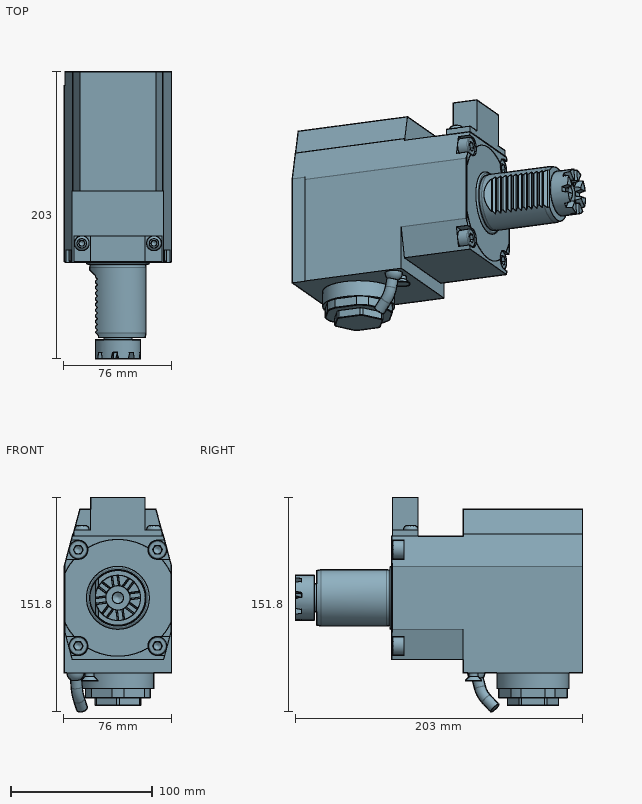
import cadquery as cq
import math


half_width = 38.0
back_y = 135.0
flank_lean = 15.0
flank_start_z = 22.3
ledge_z = 43.6
step_y = 50.7
rear_top_z = 62.7
rear_bottom_z = -53.0
seam_z = 45.0
seam_step = 0.25

strip_length = 10.0
strip_depth = 0.5

pad_thickness = 0.6
pad_half_width = 37.5
disc_diameter = 82.6
disc_proud = 0.1

screw_x = 28.0
screw_z = 34.0
cap_pocket_diameter = 13.5
cap_pocket_depth = 8.7
cap_head_diameter = 13.0
cap_head_sink = 0.8
cap_edge_fillet = 0.6
cap_socket_flats = 6.0
cap_socket_depth = 4.0

shank_diameter = 40.0
shank_length = 53.0
shank_tip_diameter = 38.7
shank_tip_taper = 3.3
seal_diameter = 44.5
seal_thickness = 1.2
seal_fillet = 1.15
root_diameter = 39.4
root_taper_start = 1.7
root_taper_end = 3.5
neck_diameter = 20.0

flat_offset = 16.0
run_in_y = -5.2
serration_pitch = 4.0
serration_depth = 1.5
serration_count = 10
first_serration_y = -11.7
run_out_y = -49.3
run_out_depth = 2.2

nut_diameter = 32.0
nut_start_y = -54.4
nut_end_y = -68.0
nut_edge_fillet = 0.6
nut_recess_diameter = 17.2
nut_recess_depth = 4.9
nut_slot_depth = 4.5
nut_slot_floor_width = 3.2
nut_slot_mouth_width = 5.2
nut_slot_count = 8
nut_slot_turn = 8.0
centre_diameter = 8.0

drive_y = 100.0
collar_diameter = 51.0
collar_bottom_z = -64.1
large_hex_flats = 46.0
large_hex_diameter = 49.0
large_hex_bottom_z = -70.7
small_hex_flats = 32.4
small_hex_diameter = 36.3
small_hex_bottom_z = -76.2
hex_chamfer = 0.4

nozzle_x = -30.0
nozzle_y = 59.9
ball_diameter = 12.2
pipe_diameter = 8.0
pipe_heading = 19.0
pipe_start_lean = 15.0
pipe_end_lean = 45.0
pipe_start_length = 10.6
pipe_bend_radius = 18.5
pipe_end_length = 9.0

plug_x = -20.0
plug_y = 58.0
plug_stem_diameter = 6.37
plug_stem_length = 2.5
plug_head_diameter = 11.57
plug_head_height = 3.2
plug_rim = 0.4

key_front_y = 0.6
key_back_y = 18.9
key_plate_half_width = 31.0
key_plate_top_z = 48.1
key_half_width = 19.3
key_top_z = 71.1
button_x = 25.5
button_y = 13.6
button_diameter = 10.5
button_top_diameter = 6.6
button_height = 2.9
button_bulge = 0.35
button_socket_flats = 4.0
button_socket_depth = 1.7
button_thread_diameter = 6.0
button_thread_length = 12.0

drill_point = 118.0
hex_corner_ratio = 1 / math.cos(math.radians(30))


def flank_x(z):
    """Half width of the housing on the sloped flank at height z."""
    return half_width - (z - flank_start_z) * math.tan(math.radians(flank_lean))


def extrude_along_y(points, y_start, y_end):
    plane = cq.Workplane("XZ", origin=(0, y_start, 0))
    return plane.polyline(points).close().extrude(y_start - y_end)


def rod(diameter, y_start, y_end, x=0, z=0):
    """Round rod along Y from y_start to y_end."""
    plane = cq.Workplane("XZ", origin=(x, y_start, z))
    return plane.circle(diameter / 2).extrude(y_start - y_end)


def mirrored(right_points):
    """Outline symmetric about X = 0, from its +X points listed bottom to top."""
    return right_points + [(-x, z) for x, z in reversed(right_points)]


def socket(flats, depth):
    """Hexagonal socket with a conical bottom, opening at Z = 0 and going down."""
    hexagon = cq.Workplane("XY").polygon(6, flats * hex_corner_ratio).extrude(-depth)
    cone_height = flats / 2 / math.tan(math.radians(drill_point / 2))
    cone = cq.Solid.makeCone(flats / 2, 0, cone_height, cq.Vector(0, 0, -depth), cq.Vector(0, 0, -1))
    return hexagon.union(cone)


def housing_block():
    front_points = mirrored([
        (flank_x(ledge_z), -ledge_z),
        (half_width, -flank_start_z),
        (half_width, flank_start_z),
        (flank_x(ledge_z), ledge_z),
    ])
    rear_points = mirrored([
        (half_width, rear_bottom_z),
        (half_width, flank_start_z),
        (flank_x(seam_z), seam_z),
        (flank_x(seam_z) - seam_step, seam_z),
        (flank_x(rear_top_z) - seam_step, rear_top_z),
    ])
    front = extrude_along_y(front_points, step_y, pad_thickness)
    rear = extrude_along_y(rear_points, back_y, step_y)
    strip = cq.Workplane("XY").box(strip_depth, strip_length, 4 * half_width).translate(
        (-half_width + strip_depth / 2, back_y - strip_length / 2, 0)
    )

    pad_limit = cq.Workplane("XY").box(2 * pad_half_width, back_y, 2 * ledge_z)
    pad = extrude_along_y(front_points, pad_thickness, disc_proud).intersect(pad_limit)
    disc = rod(disc_diameter, pad_thickness, 0).intersect(pad_limit)
    return front.union(rear).cut(strip).union(pad).union(disc)


def cap_screw_pocket(side, z):
    """Round pocket that runs out through the nearest side of the housing."""
    bore = rod(cap_pocket_diameter, cap_pocket_depth, 0, side * screw_x, z)
    run_out = cq.Workplane("XY").box(half_width, cap_pocket_depth, cap_pocket_diameter)
    run_out = run_out.translate((side * (screw_x + half_width / 2), cap_pocket_depth / 2, z))
    return bore.union(run_out)


def cap_screw_head(side, z):
    head = rod(cap_head_diameter, cap_pocket_depth, cap_head_sink, side * screw_x, z)
    head = head.faces("<Y").edges().fillet(cap_edge_fillet)
    opening = socket(cap_socket_flats, cap_socket_depth).rotate((0, 0, 0), (1, 0, 0), 90)
    return head.cut(opening.translate((side * screw_x, cap_head_sink, z)))


def shank():
    radius = shank_diameter / 2
    seal = rod(seal_diameter, 0, -seal_thickness).faces("<Y").edges().fillet(seal_fillet)
    profile = (
        cq.Workplane("XY")
        .moveTo(0, 0)
        .lineTo(root_diameter / 2, 0)
        .lineTo(root_diameter / 2, -root_taper_start)
        .lineTo(radius, -root_taper_end)
        .lineTo(radius, shank_tip_taper - shank_length)
        .lineTo(shank_tip_diameter / 2, -shank_length)
        .lineTo(0, -shank_length)
        .close()
    )
    body = profile.revolve(360, (0, 0, 0), (0, 1, 0))

    run_in_end_y = run_in_y - (radius - flat_offset)
    flat_profile = cq.Workplane("XY").moveTo(-radius, run_in_y).lineTo(-flat_offset, run_in_end_y)
    for i in range(serration_count):
        valley_y = first_serration_y - i * serration_pitch
        flat_profile = (
            flat_profile.lineTo(-flat_offset, valley_y + serration_depth)
            .lineTo(serration_depth - flat_offset, valley_y)
            .lineTo(-flat_offset, valley_y - serration_depth)
        )
    flat_profile = (
        flat_profile.lineTo(-flat_offset, run_out_y)
        .lineTo(run_out_depth - flat_offset, run_out_y - run_out_depth)
        .lineTo(run_out_depth - flat_offset, -shank_length)
        .lineTo(-radius, -shank_length)
        .close()
    )
    body = body.cut(flat_profile.extrude(radius, both=True))
    return body.union(seal).union(rod(neck_diameter, -shank_length, nut_start_y))


def collet_nut():
    nut = rod(nut_diameter, nut_start_y, nut_end_y).faces(">Y").edges().fillet(nut_edge_fillet)
    slot_floor_y = nut_end_y + nut_slot_depth
    floor_y = nut_end_y + nut_recess_depth
    slot_section = [
        (-nut_slot_floor_width / 2, slot_floor_y),
        (nut_slot_floor_width / 2, slot_floor_y),
        (nut_slot_mouth_width / 2, nut_end_y),
        (-nut_slot_mouth_width / 2, nut_end_y),
    ]
    nut = nut.cut(rod(nut_recess_diameter, floor_y, nut_end_y))
    for i in range(nut_slot_count):
        slot = cq.Workplane("XY").polyline(slot_section).close().extrude(nut_diameter)
        angle = nut_slot_turn + i * 360 / nut_slot_count
        nut = nut.cut(slot.rotate((0, 0, 0), (0, -1, 0), angle))
    cone_height = centre_diameter / 2 / math.tan(math.radians(drill_point / 2))
    centre = cq.Solid.makeCone(
        centre_diameter / 2, 0, cone_height, cq.Vector(0, floor_y, 0), cq.Vector(0, 1, 0)
    )
    return nut.cut(cq.Workplane(centre))


def turned_hexagon(flats, diameter, top_z, bottom_z):
    """Hexagon with its corners turned down to a diameter and a flat facing +X."""
    height = top_z - bottom_z
    plane = cq.Workplane("XY", origin=(0, drive_y, bottom_z))
    hexagon = plane.polygon(6, flats * hex_corner_ratio).extrude(height)
    hexagon = hexagon.rotate((0, drive_y, 0), (0, drive_y, 1), 30)
    return hexagon.intersect(plane.circle(diameter / 2).extrude(height))


def drive_stack():
    collar = cq.Workplane("XY", origin=(0, drive_y, rear_bottom_z))
    collar = collar.circle(collar_diameter / 2).extrude(collar_bottom_z - rear_bottom_z)
    large = turned_hexagon(large_hex_flats, large_hex_diameter, collar_bottom_z, large_hex_bottom_z)
    small = turned_hexagon(small_hex_flats, small_hex_diameter, large_hex_bottom_z, small_hex_bottom_z)
    large = large.faces("<Z").chamfer(hex_chamfer)
    small = small.faces("<Z").chamfer(hex_chamfer)
    return collar.union(large).union(small)


def nozzle():
    """Ball half sunk in the housing, with a pipe that bends away from it."""
    ball = cq.Workplane("XY").sphere(ball_diameter / 2)
    start = math.radians(pipe_start_lean)
    end = math.radians(pipe_end_lean)
    middle = (start + end) / 2

    joint = (pipe_start_length * math.sin(start), -pipe_start_length * math.cos(start))

    def on_bend(lean):
        return (
            joint[0] + pipe_bend_radius * (math.cos(start) - math.cos(lean)),
            joint[1] - pipe_bend_radius * (math.sin(lean) - math.sin(start)),
        )

    bend_end = on_bend(end)
    tip = (bend_end[0] + pipe_end_length * math.sin(end), bend_end[1] - pipe_end_length * math.cos(end))
    path = cq.Workplane("YZ").lineTo(*joint).threePointArc(on_bend(middle), bend_end).lineTo(*tip)
    start_plane = cq.Plane((0, 0, 0), (1, 0, 0), (0, math.sin(start), -math.cos(start)))
    pipe = cq.Workplane(start_plane).circle(pipe_diameter / 2).sweep(path)
    shape = ball.union(pipe).rotate((0, 0, 0), (0, 0, 1), -pipe_heading)
    return shape.translate((nozzle_x, nozzle_y, rear_bottom_z))


def plug():
    stem_radius = plug_stem_diameter / 2
    head_radius = plug_head_diameter / 2
    head_end = -plug_stem_length - plug_head_height
    profile = [
        (0, 0),
        (stem_radius, 0),
        (stem_radius, -plug_stem_length),
        (head_radius, head_end + plug_rim),
        (head_radius, head_end),
        (0, head_end),
    ]
    shape = cq.Workplane("XZ").polyline(profile).close().revolve(360, (0, 0, 0), (0, 1, 0))
    return shape.translate((plug_x, plug_y, rear_bottom_z))


def button_threads():
    """Plain threads of both button-head screws, also used to cut their holes."""
    plane = cq.Workplane("XY", origin=(0, button_y, key_plate_top_z))
    plane = plane.pushPoints([(-button_x, 0), (button_x, 0)])
    return plane.circle(button_thread_diameter / 2).extrude(-button_thread_length)


def build_housing():
    body = housing_block()
    for side in (-1, 1):
        for z in (-screw_z, screw_z):
            body = body.cut(cap_screw_pocket(side, z)).union(cap_screw_head(side, z))
    for feature in (shank(), collet_nut(), drive_stack(), nozzle(), plug()):
        body = body.union(feature)
    return body.cut(button_threads())


def build_key_block():
    def centred_block(half, top_z):
        size = (2 * half, key_back_y - key_front_y, top_z - ledge_z)
        block = cq.Workplane("XY").box(*size, centered=(True, False, False))
        return block.translate((0, key_front_y, ledge_z))

    plate = centred_block(key_plate_half_width, key_plate_top_z)
    key = centred_block(key_half_width, key_top_z)
    return plate.union(key).cut(button_threads())


def build_button_screw(side):
    rim_radius = button_diameter / 2
    top_radius = button_top_diameter / 2
    middle = ((rim_radius + top_radius) / 2 + button_bulge, button_height / 2 + button_bulge)
    thread_radius = button_thread_diameter / 2
    profile = (
        cq.Workplane("XZ")
        .moveTo(0, -button_thread_length)
        .lineTo(thread_radius, -button_thread_length)
        .lineTo(thread_radius, 0)
        .lineTo(rim_radius, 0)
        .threePointArc(middle, (top_radius, button_height))
        .lineTo(0, button_height)
        .close()
    )
    screw = profile.revolve(360, (0, 0, 0), (0, 1, 0))
    opening = socket(button_socket_flats, button_socket_depth).translate((0, 0, button_height))
    return screw.cut(opening).translate((side * button_x, button_y, key_plate_top_z))


housing = build_housing()
key_block = build_key_block()
button_screws = [build_button_screw(side) for side in (-1, 1)]

bodies = [housing, key_block] + button_screws

result = cq.Compound.makeCompound([body.solids().val() for body in bodies])